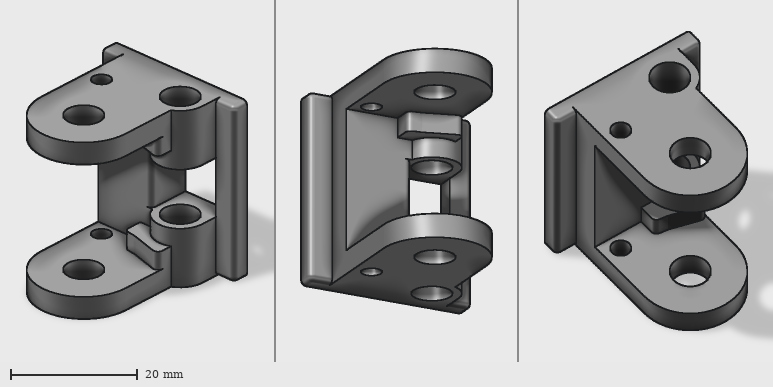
import cadquery as cq
import math

height = 31.75
edge_radius = 1.0

arm_width = 18.0
arm_radius = arm_width / 2
arm_thickness = 4.0
arm_hole_diameter = 6.5
overall_depth = 29.95
web_depth = 7.87
back_y = overall_depth - arm_radius
web_front_y = back_y - web_depth
arm_inner_z = height / 2 - arm_thickness

plate_width = 28.75
plate_thickness = 3.02
plate_left_x = -13.02

hinge_x = 7.02
hinge_y = back_y - 6.13
hinge_radius = 4.73
hinge_hole_diameter = 6.5
hinge_right_x = hinge_x + hinge_radius
window_height = 10.6
window_left_x = 2.48

lock_hole_x = -5.87
lock_hole_y = back_y - 10.48
lock_hole_diameter = 3.33

stop_height = (2 * arm_inner_z - window_height) / 4
stop_left_x = 0.05
stop_left_y = 9.45
stop_bend_x = 2.4
stop_bend_y = 9.15
stop_slope = math.radians(16)


def box(x_min, x_max, y_min, y_max, z_size):
    """Box centred on the XY plane."""
    return (
        cq.Workplane("XY")
        .box(x_max - x_min, y_max - y_min, z_size, centered=(False, False, True))
        .translate((x_min, y_min, 0))
    )


def cylinder(x, y, diameter, z_size):
    """Vertical cylinder centred on the XY plane."""
    return (
        cq.Workplane("XY")
        .center(x, y)
        .circle(diameter / 2)
        .extrude(z_size / 2, both=True)
    )


def mounting_plate():
    """Plate with all edges rounded except those of its back face."""
    plate = box(plate_left_x, plate_left_x + plate_width, back_y - plate_thickness, back_y, height)
    return plate.edges("|Y or <Y").fillet(edge_radius)


def fork():
    """Arms, web and hinge knuckles, with the space between the arms cleared."""
    body = box(-arm_radius, arm_radius, 0, back_y, height)
    body = body.union(cylinder(0, 0, arm_width, height))
    body = body.cut(box(-arm_radius, arm_radius, -arm_radius, web_front_y, 2 * arm_inner_z))
    knuckle = cylinder(hinge_x, hinge_y, 2 * hinge_radius, height)
    knuckle_root = box(hinge_x, hinge_right_x, hinge_y, back_y, height)
    return body.union(knuckle).union(knuckle_root)


def stop_block():
    """Block under the upper arm with a bent, sloping front and rounded corners."""
    stop_right_y = stop_bend_y - (arm_radius - stop_bend_x) * math.tan(stop_slope)
    block = (
        cq.Workplane("XY")
        .workplane(offset=arm_inner_z - stop_height)
        .moveTo(stop_left_x, web_front_y)
        .lineTo(stop_left_x, stop_left_y)
        .lineTo(stop_bend_x, stop_bend_y)
        .lineTo(arm_radius, stop_right_y)
        .lineTo(arm_radius, web_front_y)
        .close()
        .extrude(stop_height)
    )
    middle_z = arm_inner_z - stop_height / 2
    left_corner = cq.NearestToPointSelector((stop_left_x, stop_left_y, middle_z))
    right_corner = cq.NearestToPointSelector((arm_radius, stop_right_y, middle_z))
    return block.edges(left_corner + right_corner).fillet(edge_radius)


def window():
    """Opening between the knuckles, with a rounded left front edge."""
    front_y = hinge_y - hinge_radius
    return (
        cq.Workplane("XY")
        .moveTo(window_left_x, back_y)
        .lineTo(window_left_x, web_front_y + edge_radius)
        .radiusArc((window_left_x - edge_radius, web_front_y), edge_radius)
        .lineTo(window_left_x - edge_radius, front_y)
        .lineTo(hinge_right_x, front_y)
        .lineTo(hinge_right_x, back_y)
        .close()
        .extrude(window_height / 2, both=True)
    )


upper_stop = stop_block()
result = mounting_plate().union(fork()).union(upper_stop).union(upper_stop.mirror("XY"))
result = result.cut(window())

for x, y, diameter in (
    (0, 0, arm_hole_diameter),
    (hinge_x, hinge_y, hinge_hole_diameter),
    (lock_hole_x, lock_hole_y, lock_hole_diameter),
):
    result = result.cut(cylinder(x, y, diameter, height))